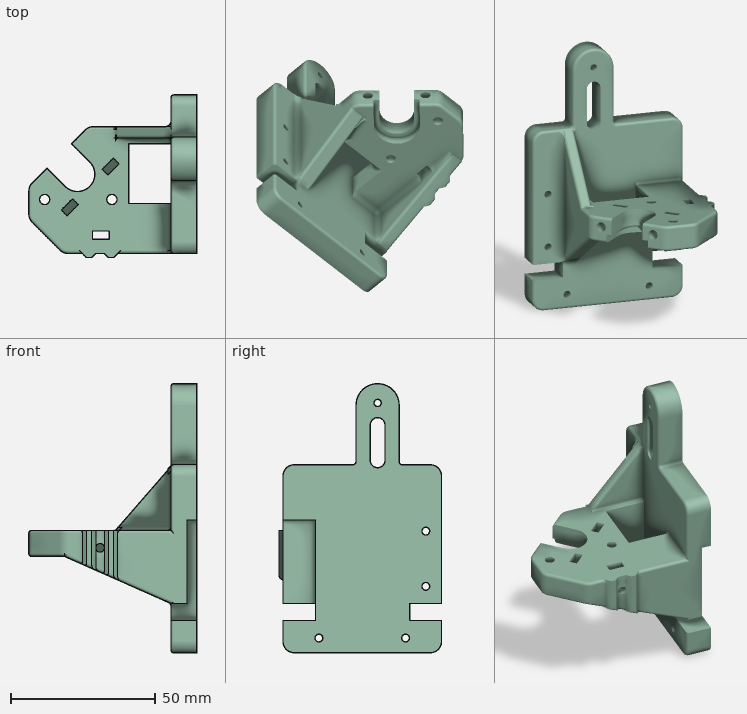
import cadquery as cq
import math


EDGE_ROUND = 1.0
COVE_RADIUS = 2.0
CORNER_RADIUS = 4.0

PLATE_THICKNESS = 9.0
PLATE_WIDTH = 55.1
SHOULDER_HEIGHT = 65.3
TOTAL_HEIGHT = 93.4
SCREW_DIAMETER = 2.6
FOOT_HOLES = [(12.5, 5.1), (42.6, 5.1)]
WING_HOLES = [(49.6, 23.1), (49.6, 42.2)]

TAB_WIDTH = 15.0
TAB_CENTRE_Y = 32.9
TAB_HOLE_DIAMETER = 2.4
TAB_HOLE_Z = 86.7
TAB_SLOT_WIDTH = 5.0
TAB_SLOT_BOTTOM = 64.2
TAB_SLOT_TOP = 81.5

NOTCH_BOTTOM = 11.3
NOTCH_TOP = 17.1
NOTCH_DEPTH = 11.3
RELIEF_DEPTH = 3.5
RELIEF_TOP = 46.1

ARM_REACH = 49.3
ARM_WIDTH = 44.1
ARM_TOP = 42.5
ARM_THICKNESS = 9.1
ARM_BOTTOM = ARM_TOP - ARM_THICKNESS
ARM_MIDDLE = (ARM_TOP + ARM_BOTTOM) / 2
ARM_EMBED = 2.8
NOSE_CHAMFER = 12.0
NOSE_FLAT_END = 23.3
FAR_CORNER_X = ARM_WIDTH - NOSE_FLAT_END - ARM_REACH

NEAR_RIB = 5.0
NEAR_SLANT_START = -36.9
FAR_RIB = 6.0
FAR_RIB_START = ARM_WIDTH - FAR_RIB
FAR_SLANT_START = FAR_CORNER_X + CORNER_RADIUS * math.tan(math.radians(22.5))
FAR_SLANT_ANGLE = math.degrees(math.atan2(ARM_BOTTOM - NOTCH_TOP, -FAR_SLANT_START))

GUSSET_WIDTH = 4.0
GUSSET_LENGTH = 19.2
GUSSET_START = ARM_WIDTH - GUSSET_WIDTH
EDGE_DIP = EDGE_ROUND * (1 - math.sqrt(0.5))
GUSSET_FOOT = (-GUSSET_LENGTH, ARM_TOP)
GUSSET_APEX = (EDGE_DIP, SHOULDER_HEIGHT - EDGE_DIP)
GUSSET_ANGLE = math.degrees(math.atan2(GUSSET_APEX[1] - ARM_TOP, GUSSET_APEX[0] + GUSSET_LENGTH))

SLOT_X = -32.4
SLOT_Y = 27.55
SLOT_DIRECTION = 135
SLOT_WIDTH = 11.95
STEP_WIDTH = 16.0
STEP_HEIGHT = 3.1
CLAMP_SCREW_OFFSET = 10.0
CLAMP_SCREW_DIAMETER = 3.5
CLAMP_SCREW_Z = 38.9
CLAMP_NUT_WIDTH = 5.5
CLAMP_NUT_DISTANCE = 6.3
CLAMP_NUT_DEPTH = 6.3
NUT_THICKNESS = 2.8

WINDOW_LENGTH = 14.6
WINDOW_START = 17.5
PIN_DIAMETER = 3.5
PIN_HOLES = [(-43.8, 18.8), (-20.45, 18.8)]

CLIP_X = -24.6
TOOTH_SPACING = 7.6
TOOTH_TIP = 1.8
TOOTH_HEIGHT = 1.4
CLIP_SCREW_DIAMETER = 3.0
CLIP_SCREW_Z = 36.4
CLIP_NUT_X = -24.3
CLIP_NUT_Y = 6.4
CLIP_NUT_WIDTH = 5.7

SLOPED_EDGES = "(not |X) and (not |Y) and (not |Z)"


def box(x0, x1, y0, y1, z0, z1):
    return cq.Workplane("XY", origin=(x0, y0, z0)).box(x1 - x0, y1 - y0, z1 - z0, centered=False)


def side_prism(points, y0, y1):
    """Extrude an outline given as (X, Z) points from y0 to y1."""
    return cq.Workplane("XZ", origin=(0, y0, 0)).polyline(points).close().extrude(y0 - y1)


def cove(plane, corner, angle_a, angle_b, radius, length):
    """Fill the corner between two faces, which leave it at two angles, with a concave round."""
    half_opening = math.radians(angle_b - angle_a) / 2
    tangent = radius / math.tan(half_opening)
    gap = radius / math.sin(half_opening) - radius

    def away(angle, distance):
        turn = math.radians(angle)
        return (corner[0] + distance * math.cos(turn), corner[1] + distance * math.sin(turn))

    return (
        plane.moveTo(*corner)
        .lineTo(*away(angle_a, tangent))
        .threePointArc(away((angle_a + angle_b) / 2, gap), away(angle_b, tangent))
        .close()
        .extrude(length)
    )


def make_plate():
    tab_sides = (TAB_CENTRE_Y - TAB_WIDTH / 2, TAB_CENTRE_Y + TAB_WIDTH / 2)
    arc_z = TOTAL_HEIGHT - TAB_WIDTH / 2
    plate = box(0, PLATE_THICKNESS, 0, PLATE_WIDTH, 0, SHOULDER_HEIGHT)
    plate = plate.edges("|X").fillet(CORNER_RADIUS)
    tab = (
        cq.Workplane("YZ")
        .moveTo(tab_sides[0], SHOULDER_HEIGHT / 2)
        .lineTo(tab_sides[0], arc_z)
        .threePointArc((TAB_CENTRE_Y, TOTAL_HEIGHT), (tab_sides[1], arc_z))
        .lineTo(tab_sides[1], SHOULDER_HEIGHT / 2)
        .close()
        .extrude(PLATE_THICKNESS)
    )
    plate = plate.union(tab)
    for y in tab_sides:
        inner_corner = cq.NearestToPointSelector((PLATE_THICKNESS / 2, y, SHOULDER_HEIGHT))
        plate = plate.edges(inner_corner).fillet(EDGE_ROUND)
    return plate.faces("<X").edges().fillet(EDGE_ROUND)


def arm_outline(z0, z1):
    """Arm outline seen along Z, with its nose and corners rounded, as a prism."""
    return (
        cq.Workplane("XY", origin=(0, 0, z0))
        .polyline([
            (ARM_EMBED, 0),
            (NOSE_CHAMFER - ARM_REACH, 0),
            (-ARM_REACH, NOSE_CHAMFER),
            (-ARM_REACH, NOSE_FLAT_END),
            (FAR_CORNER_X, ARM_WIDTH),
            (ARM_EMBED, ARM_WIDTH),
        ])
        .close()
        .extrude(z1 - z0)
        .edges("|Z and (not >X)")
        .fillet(CORNER_RADIUS)
    )


def make_slab():
    slab = arm_outline(ARM_BOTTOM, ARM_TOP)
    return slab.faces("|Z").edges("not >X").fillet(EDGE_ROUND)


def slant_profile(start, top):
    """Outline whose underside climbs from the notch top at the plate to the slab at X = start."""
    drop = (ARM_BOTTOM - NOTCH_TOP) * ARM_EMBED / -start
    return [(ARM_EMBED, NOTCH_TOP - drop), (start, ARM_BOTTOM), (start, top), (ARM_EMBED, top)]


def make_rib(start, y0, y1):
    rib = side_prism(slant_profile(start, ARM_MIDDLE), y0, y1)
    return rib.edges(SLOPED_EDGES).fillet(EDGE_ROUND).intersect(arm_outline(0, ARM_TOP))


def make_rib_root():
    """Concave round between the far rib's underside and the plate."""
    plane = cq.Workplane("XZ", origin=(0, ARM_WIDTH, 0))
    return cove(plane, (0, NOTCH_TOP), 180 - FAR_SLANT_ANGLE, 270, COVE_RADIUS, FAR_RIB - EDGE_ROUND)


def make_under_coves():
    """Concave rounds where the ribs, the slab and the plate meet below the arm."""
    pocket = box(-ARM_REACH, 0, NEAR_RIB, FAR_RIB_START, 0, ARM_BOTTOM)
    pocket = pocket.edges("(|X and >Z) or (>X and (not <Z))").fillet(COVE_RADIUS)
    middle = PLATE_WIDTH / 2
    near_side = side_prism(slant_profile(NEAR_SLANT_START, ARM_MIDDLE), NEAR_RIB, middle)
    far_side = side_prism(slant_profile(FAR_SLANT_START, ARM_MIDDLE), middle, FAR_RIB_START)
    return near_side.union(far_side).cut(pocket)


def make_gusset():
    profile = [GUSSET_FOOT, GUSSET_APEX, (EDGE_DIP, ARM_MIDDLE), (-GUSSET_LENGTH, ARM_MIDDLE)]
    gusset = side_prism(profile, GUSSET_START, ARM_WIDTH)
    return gusset.edges(SLOPED_EDGES).fillet(EDGE_ROUND)


def make_gusset_root():
    """Concave round between the gusset's slope and the top of the arm."""
    plane = cq.Workplane("XZ", origin=(0, ARM_WIDTH, 0))
    return cove(plane, GUSSET_FOOT, GUSSET_ANGLE, 180, EDGE_ROUND, GUSSET_WIDTH)


def make_upper_coves():
    """Concave rounds where the gusset, the arm and the plate meet above the arm."""
    room = box(-ARM_REACH, 0, -PLATE_WIDTH, GUSSET_START, ARM_TOP, TOTAL_HEIGHT)
    room = room.edges("(|X and >Y and <Z) or (|Z and >X and >Y) or (|Y and >X and <Z)").fillet(EDGE_ROUND)
    below_slope = [GUSSET_FOOT, (0, GUSSET_APEX[1]), (0, ARM_TOP)]
    return side_prism(below_slope, EDGE_ROUND, GUSSET_START).cut(room)


def make_wing_cove():
    """Concave round between the plate and the far side of the gusset, arm and rib."""
    strip = cove(cq.Workplane("XY"), (0, ARM_WIDTH), 90, 180, COVE_RADIUS, SHOULDER_HEIGHT)
    far_side = [*slant_profile(FAR_SLANT_START, ARM_TOP)[:3], GUSSET_FOOT, GUSSET_APEX]
    return strip.intersect(side_prism(far_side, ARM_WIDTH, PLATE_WIDTH))


def make_clip():
    """Two teeth, with the floor of the groove between them squared up to the arm's side."""
    half_pitch = TOOTH_SPACING / 2
    half_tip = TOOTH_TIP / 2
    half_root = half_tip + TOOTH_HEIGHT + EDGE_ROUND
    clip = box(CLIP_X - half_pitch, CLIP_X + half_pitch, 0, EDGE_ROUND, ARM_BOTTOM, ARM_TOP)
    for x in (CLIP_X - half_pitch, CLIP_X + half_pitch):
        tooth = (
            cq.Workplane("XY", origin=(x, 0, NOTCH_TOP))
            .polyline([
                (-half_root, EDGE_ROUND),
                (-half_tip, -TOOTH_HEIGHT),
                (half_tip, -TOOTH_HEIGHT),
                (half_root, EDGE_ROUND),
            ])
            .close()
            .extrude(ARM_TOP - NOTCH_TOP)
        )
        clip = clip.union(tooth)
    side = slant_profile(NEAR_SLANT_START, ARM_TOP)
    clip = clip.intersect(side_prism(side, -TOOTH_HEIGHT, EDGE_ROUND))
    return clip.faces("<Y").edges(SLOPED_EDGES).fillet(EDGE_ROUND)


def clamp_cutter():
    """Clamp slot, its nut traps and screws, laid out with the mouth along +X and then turned."""
    def slot(width, top):
        height = top - NOTCH_TOP
        sides = box(0, ARM_REACH, -width / 2, width / 2, NOTCH_TOP, top)
        return sides.union(cq.Workplane("XY", origin=(0, 0, NOTCH_TOP)).circle(width / 2).extrude(height))

    cutter = slot(SLOT_WIDTH, ARM_TOP).union(slot(STEP_WIDTH, ARM_BOTTOM + STEP_HEIGHT))
    nut_back = -CLAMP_NUT_DISTANCE - NUT_THICKNESS / 2
    half_nut = CLAMP_NUT_WIDTH / 2
    for y in (-CLAMP_SCREW_OFFSET, CLAMP_SCREW_OFFSET):
        nut = box(nut_back, nut_back + NUT_THICKNESS, y - half_nut, y + half_nut,
                  ARM_TOP - CLAMP_NUT_DEPTH, ARM_TOP)
        screw = (
            cq.Workplane("YZ", origin=(nut_back, y, CLAMP_SCREW_Z))
            .circle(CLAMP_SCREW_DIAMETER / 2)
            .extrude(ARM_REACH / 2)
        )
        cutter = cutter.union(nut).union(screw)
    return cutter.rotate((0, 0, 0), (0, 0, 1), SLOT_DIRECTION).translate((SLOT_X, SLOT_Y, 0))


def cut_arm(body):
    window = box(-WINDOW_LENGTH, 0, WINDOW_START, FAR_RIB_START, 0, ARM_TOP + EDGE_ROUND)
    pins = cq.Workplane("XY").pushPoints(PIN_HOLES).circle(PIN_DIAMETER / 2).extrude(TOTAL_HEIGHT)
    half_nut = CLIP_NUT_WIDTH / 2
    half_thickness = NUT_THICKNESS / 2
    clip_nut = box(CLIP_NUT_X - half_nut, CLIP_NUT_X + half_nut,
                   CLIP_NUT_Y - half_thickness, CLIP_NUT_Y + half_thickness, 0, TOTAL_HEIGHT)
    clip_screw = (
        cq.Workplane("XZ", origin=(CLIP_X, 0, CLIP_SCREW_Z))
        .circle(CLIP_SCREW_DIAMETER / 2)
        .extrude(-CLIP_NUT_Y)
    )
    for cutter in (clamp_cutter(), window, pins, clip_nut, clip_screw):
        body = body.cut(cutter)
    return body


def cut_plate(body):
    screws = (
        cq.Workplane("YZ")
        .pushPoints(FOOT_HOLES + WING_HOLES)
        .circle(SCREW_DIAMETER / 2)
        .extrude(PLATE_THICKNESS)
    )
    tab_hole = (
        cq.Workplane("YZ", origin=(0, TAB_CENTRE_Y, TAB_HOLE_Z))
        .circle(TAB_HOLE_DIAMETER / 2)
        .extrude(PLATE_THICKNESS)
    )
    tab_slot = (
        cq.Workplane("YZ", origin=(0, TAB_CENTRE_Y, (TAB_SLOT_BOTTOM + TAB_SLOT_TOP) / 2))
        .slot2D(TAB_SLOT_TOP - TAB_SLOT_BOTTOM, TAB_SLOT_WIDTH, 90)
        .extrude(PLATE_THICKNESS)
    )
    front = -2 * COVE_RADIUS
    near_notch = box(front, PLATE_THICKNESS, 0, NOTCH_DEPTH, NOTCH_BOTTOM, NOTCH_TOP)
    far_notch = box(front, PLATE_THICKNESS, ARM_WIDTH, PLATE_WIDTH, NOTCH_BOTTOM, NOTCH_TOP)
    relief = box(PLATE_THICKNESS - RELIEF_DEPTH, PLATE_THICKNESS, 0, NOTCH_DEPTH, NOTCH_TOP, RELIEF_TOP)
    notch_lip = cove(cq.Workplane("XZ", origin=(0, NEAR_RIB, 0)), (0, NOTCH_TOP), 0, 90,
                     COVE_RADIUS, NEAR_RIB - NOTCH_DEPTH)
    for cutter in (screws, tab_hole, tab_slot, near_notch, far_notch, relief, notch_lip):
        body = body.cut(cutter)
    return body


pieces = [
    make_slab(),
    make_rib(NEAR_SLANT_START, 0, NEAR_RIB),
    make_rib(FAR_SLANT_START, FAR_RIB_START, ARM_WIDTH),
    make_under_coves(),
    make_rib_root(),
    make_gusset(),
    make_upper_coves(),
    make_gusset_root(),
    make_wing_cove(),
    make_clip(),
]
bracket = make_plate()
for piece in pieces:
    bracket = bracket.union(piece)

result = cut_plate(cut_arm(bracket)).solids()